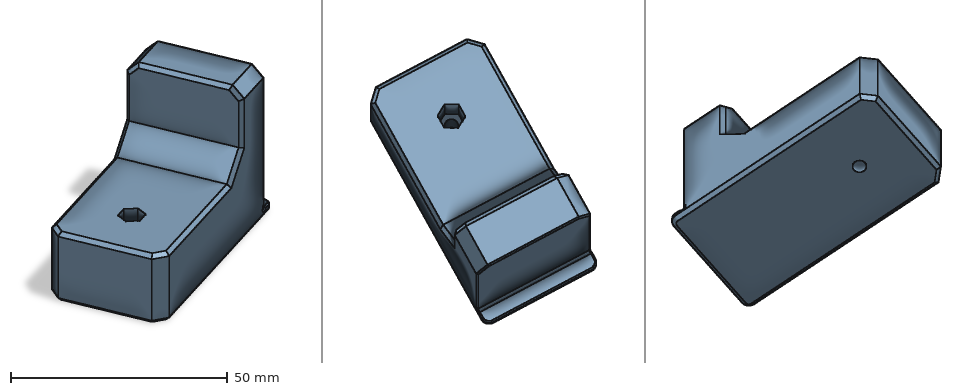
import cadquery as cq
import math

width = 30.0
length = 58.8
height = 40.85

lip_length = 4.2
lip_height = 2.4
base_height = 18.6
wall_thickness = 11.8
ramp_size = 6.4
groove_radius = 0.5

corner_chamfer = 3.0
edge_chamfer = 1.0
fine_chamfer = 0.4
lip_corner_radius = 2.0

screw_from_front = 14.6
screw_diameter = 3.2
nut_across_flats = 5.6
nut_pocket_depth = 10.0

wall_back = length - lip_length
wall_front = wall_back - wall_thickness
ramp_foot = wall_front - ramp_size
ramp_top = base_height + ramp_size

groove_reach = 4 * groove_radius
groove_diagonal = groove_radius * math.sqrt(0.5)


def extrude_across(section):
    """Extrude a section drawn in the YZ plane over the full width."""
    return section.extrude(width).translate((-width / 2, 0, 0))


def stepped_block():
    """L-shaped block with a thin lip at the back and its large corners cut."""
    profile = [
        (0, 0),
        (length, 0),
        (length, lip_height),
        (wall_back, lip_height),
        (wall_back, height),
        (wall_front, height),
        (wall_front, ramp_top),
        (ramp_foot, base_height),
        (0, base_height),
    ]
    block = extrude_across(cq.Workplane("YZ").polyline(profile).close())
    block = block.faces("<Y").edges("|Z").chamfer(corner_chamfer)
    block = block.faces(">Z").edges("|Y").chamfer(corner_chamfer)
    return block.faces(">Y").edges("|Z").fillet(lip_corner_radius)


def relief_groove():
    """Round-bottomed slot running at 45 degrees into the corner between the wall and the lip."""
    half_diagonal = groove_reach / 2 * math.sqrt(0.5)
    return extrude_across(
        cq.Workplane("YZ")
        .center(wall_back + half_diagonal, lip_height + half_diagonal)
        .slot2D(groove_reach + 2 * groove_radius, 2 * groove_radius, 45)
    )


def chamfer_outline(body, face_points, size):
    """Chamfer the outer edges of a run of touching faces, not the edges they share.

    Each face is picked by a (Y, Z) point near its centre on the plane X = 0.
    """
    edges = []
    for y, z in face_points:
        edges += body.faces(cq.NearestToPointSelector((0, y, z))).edges().vals()
    outline = [edge for edge in edges if sum(edge.isSame(other) for other in edges) == 1]
    return body.newObject(outline).chamfer(size)


def nut_pocket():
    """Hexagonal pocket in the top of the base, with two flats facing along X."""
    return (
        cq.Workplane("XY", origin=(0, screw_from_front, base_height))
        .polygon(6, nut_across_flats, circumscribed=True)
        .extrude(-nut_pocket_depth)
    )


def screw_hole():
    """Round hole through the base, on the axis of the nut pocket."""
    return cq.Workplane("XY").center(0, screw_from_front).circle(screw_diameter / 2).extrude(base_height)


front_faces = [
    (screw_from_front, base_height),
    ((ramp_foot + wall_front) / 2, (base_height + ramp_top) / 2),
    (wall_front, (ramp_top + height) / 2),
]
back_faces = [
    (wall_back, (lip_height + height) / 2),
    (wall_back - groove_diagonal / 2, lip_height + 1.5 * groove_diagonal),
    (wall_back - groove_diagonal, lip_height - groove_diagonal),
    (wall_back + 1.5 * groove_diagonal, lip_height - groove_diagonal / 2),
    ((wall_back + length) / 2, lip_height),
]

body = stepped_block().cut(relief_groove())
body = body.faces("<Z").chamfer(edge_chamfer)
body = chamfer_outline(body, front_faces, edge_chamfer)
body = chamfer_outline(body, back_faces, fine_chamfer)

result = body.cut(nut_pocket()).cut(screw_hole())